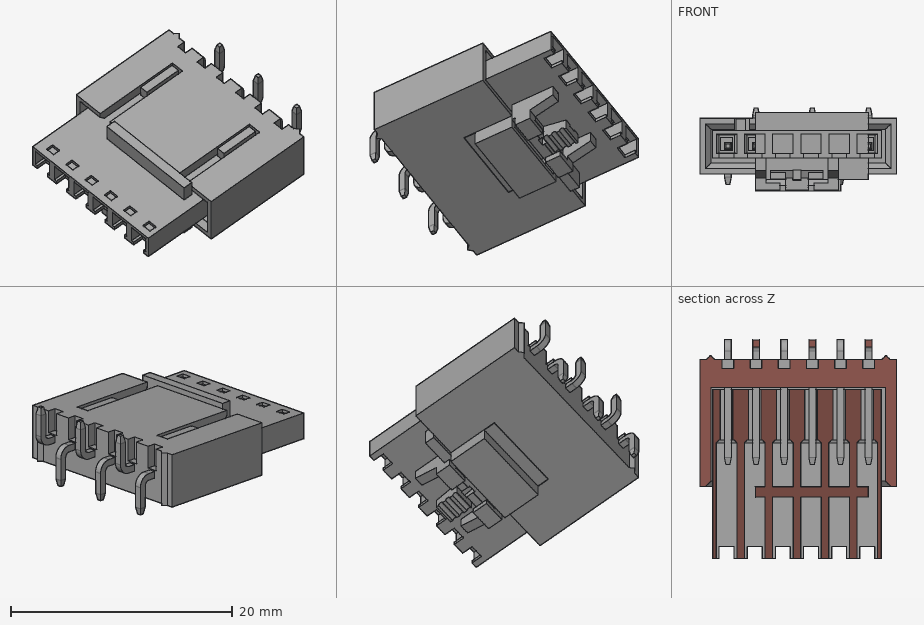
import cadquery as cq
import math

WAYS = 6
PLUG_W = 15.24
PITCH = PLUG_W / WAYS
WALL = 0.51

HEADER_W = 17.77
HEADER_D = 11.48
HEADER_H = 5.07
MATING_D = 8.95
LEAD_IN = 0.51
CAVITY_W = HEADER_W - 2 * (WALL + LEAD_IN)
CAVITY_H = HEADER_H - 2 * (WALL + LEAD_IN)
CAVITY_Z = WALL + LEAD_IN

KEY_SPACING = 4 * PITCH
KEY_SLOT_W = 1.33

NUB_SPACING = 15.83
NUB_W = 0.75
NUB_D = 0.38

NOTCH_W = 1.03
NOTCH_D = 0.81
NOTCH_FLOOR = 2.97

TUNNEL_W = 7.7
TUNNEL_D = 3.88
TUNNEL_DROP = 1.52
PAD_D = 1.17
PAD_H = 0.08

PIN_W = 0.63
PIN_Z = HEADER_H / 2
PIN_FRONT_Y = 1.98
PIN_BACK_Y = 13.3
PIN_REACH = 3.46
PIN_TIP = 0.67
PIN_TIP_W = 0.35
BEND_R = 0.44

PLUG_X = -0.12
PLUG_FRONT_Y = -6.5
PLUG_BACK_Y = 8.79
PLUG_BOTTOM = 1.46
PLUG_TOP = 3.95

CELL_W = 1.85
CELL_H = 1.76
CELL_Z = 2.73
THROAT_W = 1.39
THROAT_H = 1.6
FUNNEL_Y = 3.95
FUNNEL_D = 0.24
PIN_HOLE_W = 1.1
PIN_HOLE_H = 1.17
BOTTOM_SLOT_W = 1.33
BOTTOM_SLOT_D = 1.09
WINDOW_W = 0.93
WINDOW_D = 0.75
WINDOW_DEPTH = 0.28
WINDOW_SHIFT = 0.28
WINDOW_BACK_Y = -5.03

KEY_W = 0.83
KEY_FRONT_Y = 4.89
KEY_TOP = 4.99

BAR_RIGHT = 6.33
BAR_D = 0.95
BAR_BOTTOM = -0.5
BAR_TOP = 5.58

LEG_OUTER = 3.75
LEG_INNER = 2.8
LEG_BACK_Y = -0.35
LEG_FRONT_Y = -4.33
LEG_FRONT_Z = 0.32
FOOT_INNER = 1.55
FOOT_FRONT_Y = -1.9
FOOT_TOP = -0.8
FOOT_CORNER_Z = -0.34
LATCH_BOTTOM = -1.45

LEVER_W = 4.75
LEVER_BACK_Z = 0.32
LEVER_BOTTOM = -0.44
LEVER_FRONT_Y = -1.68
GRIP_W = 2.05
GRIP_FRONT_Y = -4.1
GRIP_FRONT_Z = -0.35
LEVER_GROOVE_W = 0.73
LEVER_GROOVE_BOTTOM = -0.57
LEVER_GROOVE_TOP = 0.38
LEVER_GROOVE_Y = -0.75
SERRATION_R = 0.24
SERRATION_COUNT = 3
SERRATION_PITCH = 0.83
SERRATION_Y = -1.95


def block(x_range, y_range, z_range):
    """Box between two limits on each axis."""
    size = [high - low for low, high in (x_range, y_range, z_range)]
    corner = (x_range[0], y_range[0], z_range[0])
    return cq.Workplane("XY").box(*size, centered=False).translate(corner)


def centred_block(x, width, y_range, z_range):
    """Box of a given width centred on x."""
    return block((x - width / 2, x + width / 2), y_range, z_range)


def across(profile, x_from, x_to):
    """Extrude a closed YZ profile from one X to another."""
    return profile.extrude(x_to - x_from).translate((x_from, 0, 0))


def taper(plane, size, end_size, length):
    """Straight-sided frustum between two centred rectangles."""
    return cq.Workplane(plane).rect(*size).workplane(offset=length).rect(*end_size).loft()


def row(centre):
    """X positions of the six ways about a centre."""
    return [centre + (i - (WAYS - 1) / 2) * PITCH for i in range(WAYS)]


def lead_in(width, z_low, z_high):
    """Cavity mouth narrowing by LEAD_IN on each side, running into +Y."""
    mouth = (width, z_high - z_low)
    throat = (width - 2 * LEAD_IN, z_high - z_low - 2 * LEAD_IN)
    middle = cq.Plane(origin=(0, 0, (z_low + z_high) / 2), xDir=(-1, 0, 0), normal=(0, 1, 0))
    return taper(middle, mouth, throat, LEAD_IN)


def header_pin(x, points_up):
    """Square pin bent at the back, with tapered ends."""
    half = PIN_W / 2
    bend_y = PIN_BACK_Y - PIN_W - BEND_R
    bend_z = -half - BEND_R
    leg_z = PIN_TIP - PIN_REACH
    outer_r = BEND_R + PIN_W
    diagonal = math.sqrt(0.5)
    profile = (
        cq.Workplane("YZ")
        .moveTo(PIN_FRONT_Y + PIN_TIP, half)
        .lineTo(bend_y, half)
        .threePointArc((bend_y + outer_r * diagonal, bend_z + outer_r * diagonal), (PIN_BACK_Y, bend_z))
        .lineTo(PIN_BACK_Y, leg_z)
        .lineTo(PIN_BACK_Y - PIN_W, leg_z)
        .lineTo(PIN_BACK_Y - PIN_W, bend_z)
        .threePointArc((bend_y + BEND_R * diagonal, bend_z + BEND_R * diagonal), (bend_y, -half))
        .lineTo(PIN_FRONT_Y + PIN_TIP, -half)
        .close()
    )
    tip = ((PIN_W, PIN_W), (PIN_TIP_W, PIN_TIP_W), PIN_TIP)
    front_tip = taper("XZ", *tip).translate((0, PIN_FRONT_Y + PIN_TIP, 0))
    leg_tip = taper("XY", *tip).mirror("XY").translate((0, PIN_BACK_Y - half, leg_z))
    pin = across(profile, -half, half).union(front_tip).union(leg_tip)
    if points_up:
        pin = pin.mirror("XY")
    return pin.translate((x, 0, PIN_Z))


def make_header():
    back_y = HEADER_D
    body = centred_block(0, HEADER_W, (0, back_y), (0, HEADER_H))
    body = body.union(centred_block(0, TUNNEL_W, (0, TUNNEL_D), (-TUNNEL_DROP, 0)))
    body = body.union(centred_block(0, TUNNEL_W, (TUNNEL_D, TUNNEL_D + PAD_D), (-PAD_H, 0)))

    body = body.cut(centred_block(0, CAVITY_W, (0, MATING_D), (CAVITY_Z, CAVITY_Z + CAVITY_H)))
    body = body.cut(lead_in(HEADER_W - 2 * WALL, WALL, HEADER_H - WALL))

    mouth_w = TUNNEL_W - 2 * WALL
    floor_z = WALL - TUNNEL_DROP
    tunnel_y = (0, TUNNEL_D - WALL)
    body = body.cut(centred_block(0, mouth_w - 2 * LEAD_IN, tunnel_y, (floor_z + LEAD_IN, PIN_Z)))
    body = body.cut(lead_in(mouth_w, floor_z, PIN_Z))

    for x in (-KEY_SPACING / 2, KEY_SPACING / 2):
        body = body.cut(centred_block(x, KEY_SLOT_W, (0, MATING_D), (PIN_Z, HEADER_H)))

    for x in (-NUB_SPACING / 2, NUB_SPACING / 2):
        corners = [(x - NUB_W / 2, back_y), (x + NUB_W / 2, back_y), (x, back_y + NUB_D)]
        body = body.union(cq.Workplane("XY").polyline(corners).close().extrude(HEADER_H))

    for i, x in enumerate(row(0)):
        body = body.cut(centred_block(x, NOTCH_W, (back_y - NOTCH_D, back_y), (NOTCH_FLOOR, HEADER_H)))
        body = body.union(header_pin(x, points_up=i % 2 == 1))
    return body


def contact_cavity(x):
    """Void of one contact cavity: cell, funnel, pin hole and bottom slot."""
    z_range = (CELL_Z - CELL_H / 2, CELL_Z + CELL_H / 2)
    hole_z = (CELL_Z - PIN_HOLE_H / 2, CELL_Z + PIN_HOLE_H / 2)
    void = centred_block(x, CELL_W, (PLUG_FRONT_Y, FUNNEL_Y), z_range)
    funnel_plane = cq.Plane(origin=(x, FUNNEL_Y, CELL_Z), xDir=(-1, 0, 0), normal=(0, 1, 0))
    void = void.union(taper(funnel_plane, (CELL_W, CELL_H), (THROAT_W, THROAT_H), FUNNEL_D))
    void = void.union(centred_block(x, PIN_HOLE_W, (FUNNEL_Y, PLUG_BACK_Y), hole_z))
    slot_y = (PLUG_FRONT_Y, PLUG_FRONT_Y + BOTTOM_SLOT_D)
    return void.union(centred_block(x, BOTTOM_SLOT_W, slot_y, (PLUG_BOTTOM, CELL_Z)))


def guard_leg(side):
    """Latch guard leg with its inward foot; side is -1 for left and 1 for right."""
    profile = cq.Workplane("YZ").polyline([
        (LEG_BACK_Y, PLUG_BOTTOM),
        (LEG_BACK_Y, LATCH_BOTTOM),
        (FOOT_FRONT_Y, LATCH_BOTTOM),
        (FOOT_FRONT_Y, FOOT_CORNER_Z),
        (LEG_FRONT_Y, LEG_FRONT_Z),
        (LEG_FRONT_Y, PLUG_BOTTOM),
    ]).close()
    leg = across(profile, LEG_INNER, LEG_OUTER)
    foot = block((FOOT_INNER, LEG_OUTER), (FOOT_FRONT_Y, LEG_BACK_Y), (LATCH_BOTTOM, FOOT_TOP))
    leg = leg.union(foot)
    if side < 0:
        leg = leg.mirror("YZ")
    return leg.translate((PLUG_X, 0, 0))


def latch_lever():
    """Lever in front of the bar: wide root and narrow serrated grip under one sloping top."""
    slope = (LEVER_BACK_Z - GRIP_FRONT_Z) / (-BAR_D - GRIP_FRONT_Y)
    root_front_z = LEVER_BACK_Z + slope * (LEVER_FRONT_Y + BAR_D)
    root = cq.Workplane("YZ").polyline([
        (-BAR_D, LEVER_BOTTOM),
        (-BAR_D, LEVER_BACK_Z),
        (LEVER_FRONT_Y, root_front_z),
        (LEVER_FRONT_Y, LEVER_BOTTOM),
    ]).close()
    grip = cq.Workplane("YZ").polyline([
        (LEVER_FRONT_Y, LATCH_BOTTOM),
        (LEVER_FRONT_Y, root_front_z),
        (GRIP_FRONT_Y, GRIP_FRONT_Z),
        (GRIP_FRONT_Y, LATCH_BOTTOM),
    ]).close()
    lever = across(root, -LEVER_W / 2, LEVER_W / 2).union(across(grip, -GRIP_W / 2, GRIP_W / 2))
    for i in range(SERRATION_COUNT):
        y = SERRATION_Y - i * SERRATION_PITCH
        groove = cq.Workplane("YZ").center(y, LATCH_BOTTOM).circle(SERRATION_R)
        lever = lever.cut(across(groove, -GRIP_W / 2, GRIP_W / 2))
    return lever.translate((PLUG_X, 0, 0))


def make_plug():
    body = centred_block(PLUG_X, PLUG_W, (PLUG_FRONT_Y, PLUG_BACK_Y), (PLUG_BOTTOM, PLUG_TOP))
    window_y = (WINDOW_BACK_Y - WINDOW_D, WINDOW_BACK_Y)
    for x in row(PLUG_X):
        body = body.cut(contact_cavity(x))
        window_x = x + WINDOW_SHIFT
        body = body.cut(centred_block(window_x, WINDOW_W, window_y, (PLUG_TOP - WINDOW_DEPTH, PLUG_TOP)))

    for side in (-1, 1):
        key_x = PLUG_X + side * KEY_SPACING / 2
        body = body.union(centred_block(key_x, KEY_W, (KEY_FRONT_Y, PLUG_BACK_Y), (PLUG_TOP, KEY_TOP)))
        body = body.union(guard_leg(side))

    body = body.union(block((PLUG_X - LEG_OUTER, BAR_RIGHT), (-BAR_D, 0), (BAR_BOTTOM, BAR_TOP)))
    body = body.union(latch_lever())

    groove_y = (GRIP_FRONT_Y, LEVER_GROOVE_Y)
    groove_z = (LEVER_GROOVE_BOTTOM, LEVER_GROOVE_TOP)
    return body.cut(centred_block(PLUG_X, LEVER_GROOVE_W, groove_y, groove_z))


header = make_header()
plug = make_plug()

result = cq.Compound.makeCompound([header.val(), plug.val()])